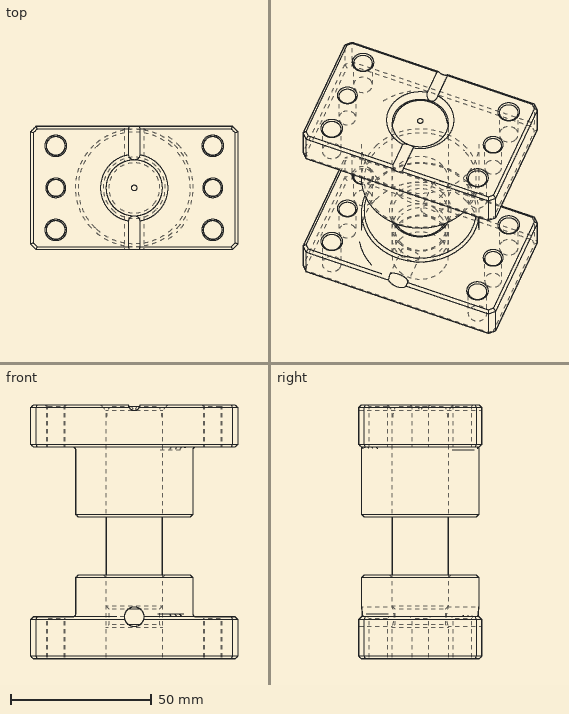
import cadquery as cq
import math

total_height = 90.6
plate_length = 74.0
plate_width = 44.0
plate_thickness = 15.0

edge_break = 1.0
corner_chamfer = 2.0
boss_fillet = edge_break

boss_diameter = 41.9
lower_housing_height = 30.0
upper_housing_height = 40.0

pin_diameter = 20.0
pin_radius = pin_diameter / 2
pin_length = 90.0
pin_tip_diameter = 18.6
pin_taper_length = 5.0
pin_tip_fillet = 2.0
center_mark_diameter = 2.0
center_mark_angle = 60

groove_floor_height = 5.5
groove_depth = 1.0

cross_hole_diameter = 7.0
bore_chamfer = 1.0
bore_flare = 2.0
top_groove_radius = 2.0

hole_spacing_x = 56.0
hole_spacing_y = 30.0
screw_hole_diameter = 6.6
dowel_hole_diameter = 6.0
hole_chamfer = 0.5


def plate_with_boss(housing_height):
    """Plate standing on the XY plane with a filleted round boss on top of it."""
    plate = (
        cq.Workplane("XY")
        .box(plate_length, plate_width, plate_thickness, centered=(True, True, False))
        .edges("|Z")
        .chamfer(corner_chamfer)
        .faces("<Z or >Z")
        .edges()
        .chamfer(edge_break)
    )
    boss = (
        cq.Workplane("XY")
        .circle(boss_diameter / 2)
        .extrude(housing_height)
        .faces(">Z")
        .edges()
        .chamfer(edge_break)
    )
    body = plate.union(boss)
    root_edges = body.faces("|Z").faces(">Z[-2]").edges("%CIRCLE")
    return root_edges.fillet(boss_fillet)


def revolved(profile):
    """Solid of revolution about the Z axis from (radius, z) points."""
    return cq.Workplane("XZ").polyline(profile).close().revolve(360, (0, 0), (0, 1))


def fastening_hole(diameter, x, y, top):
    """Cutter for a hole through a plate, chamfered at the given top level."""
    radius = diameter / 2
    profile = [
        (0, top - plate_thickness),
        (radius, top - plate_thickness),
        (radius, top - hole_chamfer),
        (radius + hole_chamfer, top),
        (0, top),
    ]
    return revolved(profile).translate((x, y, 0))


def drill_fastening_holes(body, top):
    """Two rows of three holes: a dowel hole between two screw holes."""
    for side in (-1, 1):
        for row in (-1, 0, 1):
            diameter = dowel_hole_diameter if row == 0 else screw_hole_diameter
            x = side * hole_spacing_x / 2
            y = row * hole_spacing_y / 2
            body = body.cut(fastening_hole(diameter, x, y, top))
    return body


def pin_bore(bottom, top, chamfer):
    """Cutter for the pin bore, widened by a 45 degree chamfer at the top."""
    return revolved([
        (0, bottom),
        (pin_radius, bottom),
        (pin_radius, top - chamfer),
        (pin_radius + chamfer, top),
        (0, top),
    ])


def bar_along_y(radius, z):
    """Round bar along Y over the whole plate width."""
    return cq.Workplane("XZ").center(0, z).circle(radius).extrude(plate_width / 2, both=True)


def make_lower_housing():
    body = plate_with_boss(lower_housing_height)
    body = drill_fastening_holes(body, plate_thickness)
    body = body.cut(pin_bore(0, lower_housing_height, bore_chamfer))
    return body.cut(bar_along_y(cross_hole_diameter / 2, plate_thickness))


def make_upper_housing():
    body = plate_with_boss(upper_housing_height)
    body = body.rotate((0, 0, 0), (1, 0, 0), 180).translate((0, 0, total_height))
    body = drill_fastening_holes(body, total_height)
    body = body.cut(pin_bore(total_height - upper_housing_height, total_height, bore_flare))
    return body.cut(bar_along_y(top_groove_radius, total_height))


def retaining_groove():
    """Cutter for the groove with 45 degree flanks around the pin."""
    floor_radius = pin_radius - groove_depth
    half_floor = groove_floor_height / 2
    half_mouth = half_floor + groove_depth
    return revolved([
        (floor_radius, plate_thickness - half_floor),
        (floor_radius, plate_thickness + half_floor),
        (pin_radius, plate_thickness + half_mouth),
        (pin_radius, plate_thickness - half_mouth),
    ])


def center_mark():
    """Conical cutter for the centre mark in the pin tip."""
    mark_radius = center_mark_diameter / 2
    mark_depth = mark_radius / math.tan(math.radians(center_mark_angle / 2))
    return revolved([(0, pin_length - mark_depth), (mark_radius, pin_length), (0, pin_length)])


def make_guide_pin():
    pin = revolved([
        (0, 0),
        (pin_radius, 0),
        (pin_radius, pin_length - pin_taper_length),
        (pin_tip_diameter / 2, pin_length),
        (0, pin_length),
    ])
    pin = pin.faces(">Z").edges().fillet(pin_tip_fillet)
    return pin.cut(retaining_groove()).cut(center_mark())


lower_housing = make_lower_housing()
upper_housing = make_upper_housing()
guide_pin = make_guide_pin()

result = cq.Compound.makeCompound([lower_housing.val(), upper_housing.val(), guide_pin.val()])